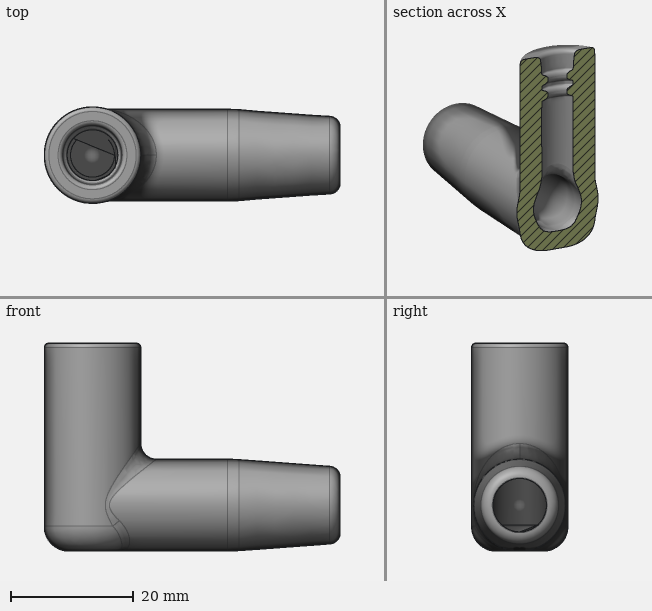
import cadquery as cq
import math

POST_RADIUS = 7.875
POST_HEIGHT = 33.91
POST_RIM_RADIUS = 0.75
POST_BASE_RADIUS = 4.1

ARM_RADIUS = 7.5
OVERALL_LENGTH = 48.26
ARM_END_X = OVERALL_LENGTH - POST_RADIUS
ARM_TIP_RADIUS = 6.35
ARM_TIP_ROUND = 1.85
TAPER_BLEND_START_X = 22.0
TAPER_BLEND_LENGTH = 1.9
JUNCTION_RADIUS = 2.54

TANGENT_OFFSET = 0.02

SOCKET_RADIUS = 4.73
SOCKET_THROAT_RADIUS = 4.86
SOCKET_MOUTH_RADIUS = 0.76
SOCKET_FLOOR_ROUND = 1.15
RIB_HEIGHT = 0.6
RIB_FLANK_LENGTH = 1.0
RIB_CREST_LENGTH = 0.3
RIB_ROOT_SHARE = 0.25
RIB_COUNT = 2
RIB_PITCH = 2.67
FIRST_RIB_DEPTH = 3.1

PASSAGE_RADIUS = ARM_RADIUS - (POST_RADIUS - SOCKET_RADIUS)
PASSAGE_ENTRY_RADIUS = JUNCTION_RADIUS
SOCKET_FLOOR_Z = ARM_RADIUS - PASSAGE_RADIUS - TANGENT_OFFSET

SIN_45 = math.sqrt(0.5)


def make_post():
    """Post with a rounded base, running slightly below Z = 0 so that the arm meets it cleanly."""
    post = (
        cq.Workplane("XY")
        .workplane(offset=-TANGENT_OFFSET)
        .circle(POST_RADIUS)
        .extrude(POST_HEIGHT + TANGENT_OFFSET)
    )
    post = post.faces(">Z").edges().fillet(POST_RIM_RADIUS)
    return post.faces("<Z").edges().fillet(POST_BASE_RADIUS)


def make_arm():
    """Round arm: straight run, blended into a tapered, rounded tip."""
    cone_start_x = TAPER_BLEND_START_X + TAPER_BLEND_LENGTH
    blend_middle_x = TAPER_BLEND_START_X + TAPER_BLEND_LENGTH / 2
    slope = (ARM_RADIUS - ARM_TIP_RADIUS) / (ARM_END_X - ARM_TIP_ROUND - blend_middle_x)
    cone_start_radius = ARM_RADIUS - slope * TAPER_BLEND_LENGTH / 2
    cone_end_radius = ARM_RADIUS - slope * (ARM_END_X - blend_middle_x)
    arm = (
        cq.Workplane("XZ")
        .lineTo(0, ARM_RADIUS)
        .lineTo(TAPER_BLEND_START_X, ARM_RADIUS)
        .tangentArcPoint((cone_start_x, cone_start_radius), relative=False)
        .lineTo(ARM_END_X, cone_end_radius)
        .lineTo(ARM_END_X, 0)
        .close()
        .revolve(360, (0, 0, 0), (1, 0, 0))
        .faces(">X").edges().fillet(ARM_TIP_ROUND)
    )
    return arm.translate((0, 0, ARM_RADIUS))


def fillet_junction(upright, branch, fillet_radius):
    """Join a round branch to an upright and fillet the curve where they meet."""
    return upright.union(branch).edges("%BSPLINE").fillet(fillet_radius)


def make_body():
    """Post and arm joined by a fillet, with the base trimmed flat."""
    body = fillet_junction(make_post(), make_arm(), JUNCTION_RADIUS)
    below_base = cq.Workplane("XY").circle(POST_RADIUS).extrude(-2 * TANGENT_OFFSET)
    return body.cut(below_base)


def make_socket():
    """Ribbed socket with a rounded mouth and floor, as a solid to be removed."""
    crest_radius = SOCKET_RADIUS - RIB_HEIGHT
    inflection_radius = SOCKET_RADIUS - RIB_ROOT_SHARE * RIB_HEIGHT
    root_drop = RIB_ROOT_SHARE * RIB_FLANK_LENGTH
    mouth_edge_radius = SOCKET_THROAT_RADIUS + SOCKET_MOUTH_RADIUS
    mouth_middle = (
        mouth_edge_radius - SOCKET_MOUTH_RADIUS * SIN_45,
        POST_HEIGHT - SOCKET_MOUTH_RADIUS * (1 - SIN_45),
    )
    profile = (
        cq.Workplane("XZ")
        .moveTo(0, POST_HEIGHT)
        .lineTo(mouth_edge_radius, POST_HEIGHT)
        .threePointArc(mouth_middle, (SOCKET_THROAT_RADIUS, POST_HEIGHT - SOCKET_MOUTH_RADIUS))
    )
    for rib in range(RIB_COUNT):
        rib_top_z = POST_HEIGHT - FIRST_RIB_DEPTH - rib * RIB_PITCH
        crest_top_z = rib_top_z - RIB_FLANK_LENGTH
        crest_bottom_z = crest_top_z - RIB_CREST_LENGTH
        rib_bottom_z = crest_bottom_z - RIB_FLANK_LENGTH
        profile = (
            profile.lineTo(SOCKET_RADIUS, rib_top_z)
            .tangentArcPoint((inflection_radius, rib_top_z - root_drop), relative=False)
            .tangentArcPoint((crest_radius, crest_top_z), relative=False)
            .lineTo(crest_radius, crest_bottom_z)
            .tangentArcPoint((inflection_radius, rib_bottom_z + root_drop), relative=False)
            .tangentArcPoint((SOCKET_RADIUS, rib_bottom_z), relative=False)
        )
    return (
        profile.lineTo(SOCKET_RADIUS, SOCKET_FLOOR_Z + SOCKET_FLOOR_ROUND)
        .tangentArcPoint((SOCKET_RADIUS - SOCKET_FLOOR_ROUND, SOCKET_FLOOR_Z), relative=False)
        .lineTo(0, SOCKET_FLOOR_Z)
        .close()
        .revolve(360, (0, 0, 0), (0, 1, 0))
    )


def make_passage():
    return (
        cq.Workplane("YZ")
        .center(0, ARM_RADIUS)
        .circle(PASSAGE_RADIUS)
        .extrude(ARM_END_X)
    )


def make_cavity():
    return fillet_junction(make_socket(), make_passage(), PASSAGE_ENTRY_RADIUS)


result = make_body().cut(make_cavity())